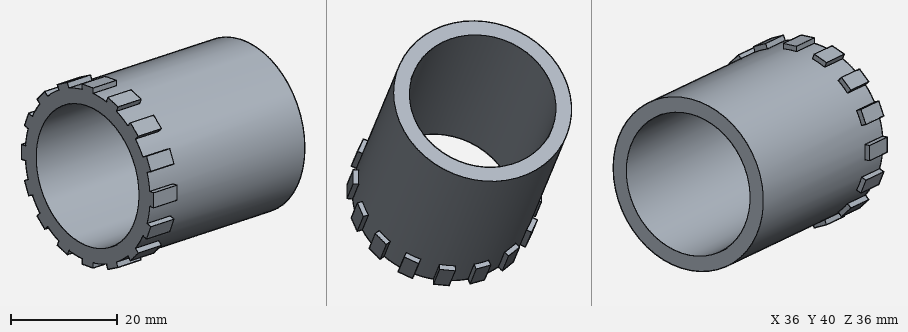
import cadquery as cq

length = 40.0
body_diameter = 34.0
bore_diameter = 28.0

tooth_count = 16
tip_to_tip = 36.0
tooth_width = 3.0
tooth_length = 6.0

wall_middle_radius = (body_diameter + bore_diameter) / 4
tooth_depth = tip_to_tip / 2 - wall_middle_radius


def make_sleeve():
    """Plain tube centred on the Y axis, from Y = 0 to the full length."""
    ring = cq.Workplane("XZ").circle(body_diameter / 2).circle(bore_diameter / 2)
    return ring.extrude(-length)


def make_tooth(angle):
    """Flat-tipped block along the front edge, turned about the Y axis."""
    block = cq.Workplane("XY").box(
        tooth_depth, tooth_length, tooth_width, centered=(False, False, True)
    )
    block = block.translate((wall_middle_radius, 0, 0))
    return block.rotate((0, 0, 0), (0, 1, 0), angle)


result = make_sleeve()
for index in range(tooth_count):
    result = result.union(make_tooth(index * 360 / tooth_count))